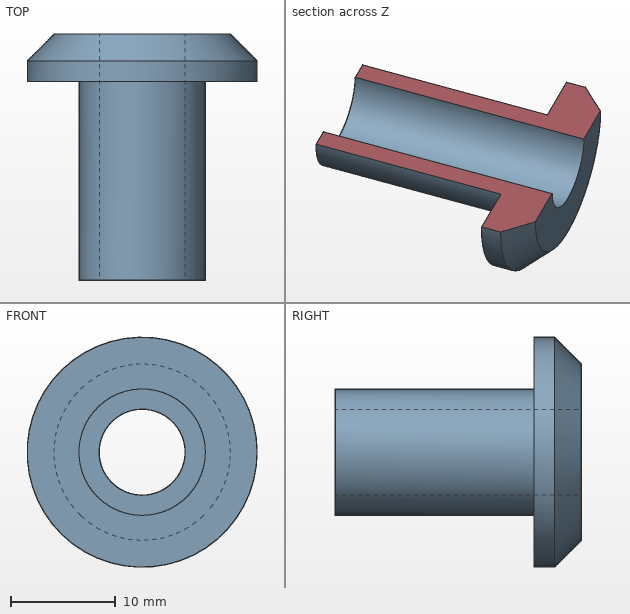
import cadquery as cq

total_length = 23.55
head_diameter = 22.0
shank_diameter = 12.08
bore_diameter = 8.2
head_thickness = 4.55
bevel = 2.57

shank_length = total_length - head_thickness


def cylinder_along_y(diameter, start_y, length):
    """Solid cylinder on the Y axis, growing toward +Y from start_y."""
    base_plane = cq.Plane(origin=(0, start_y, 0), xDir=(1, 0, 0), normal=(0, 1, 0))
    return cq.Workplane(base_plane).circle(diameter / 2).extrude(length)


head = cylinder_along_y(head_diameter, shank_length, head_thickness)
head = head.faces(">Y").edges().chamfer(bevel)

shank = cylinder_along_y(shank_diameter, 0, shank_length)

bore = cylinder_along_y(bore_diameter, 0, total_length)

result = head.union(shank).cut(bore)